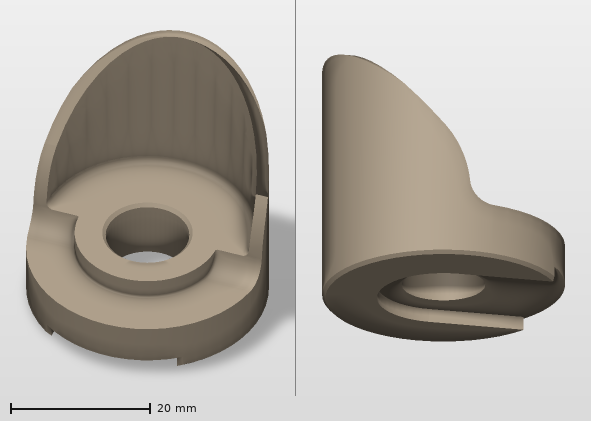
import cadquery as cq
import math

outer_diameter = 34.92
outer_radius = outer_diameter / 2
height = 34.92
bottom_chamfer = 0.5

seat_height = 11.0
step_height = 8.0
step_curve_radius = 3.65
boss_radius = 10.48
boss_fillet = 0.3

hollow_base_radius = 15.45
hollow_top_radius = 16.03
hollow_fillet = 1.0

slope_bottom_y = 3.65
slope_bottom_z = 19.97
rim_arc_radius = 16.0
rim_end_height = 11.17

bore_radius = 6.0
bore_chamfer = 0.5

notch_depth = 2.0
notch_y = -13.97
recess_radius = 9.57

clearance = 3.5


def arc_middle(start, end, radius):
    """Midpoint of the minor arc that bulges to the right of start -> end."""
    dx = end[0] - start[0]
    dy = end[1] - start[1]
    chord = math.hypot(dx, dy)
    bulge = radius - math.sqrt(radius**2 - (chord / 2) ** 2)
    middle_x = (start[0] + end[0]) / 2 + bulge * dy / chord
    middle_y = (start[1] + end[1]) / 2 - bulge * dx / chord
    return middle_x, middle_y


def across_x(profile):
    """Extrude a YZ profile symmetrically across the full width."""
    return profile.extrude(outer_radius + clearance, both=True)


def make_body():
    """Round body, sloped at the front and arched over the top."""
    cylinder = cq.Workplane("XY").circle(outer_radius).extrude(height)
    cylinder = cylinder.faces("<Z").chamfer(bottom_chamfer)

    rim_start = (slope_bottom_y, slope_bottom_z)
    rim_end = (0, rim_end_height)
    rim_middle = arc_middle(rim_start, rim_end, rim_arc_radius)
    side = across_x(
        cq.Workplane("YZ")
        .moveTo(-outer_radius, 0)
        .lineTo(outer_radius, 0)
        .lineTo(outer_radius, height)
        .lineTo(hollow_top_radius, height)
        .lineTo(*rim_start)
        .threePointArc(rim_middle, rim_end)
        .lineTo(-outer_radius, rim_end_height)
        .close()
    )

    arch_center = height - outer_radius
    arch = (
        cq.Workplane("XZ")
        .moveTo(-outer_radius, 0)
        .lineTo(outer_radius, 0)
        .lineTo(outer_radius, arch_center)
        .threePointArc((0, height), (-outer_radius, arch_center))
        .close()
        .extrude(outer_radius, both=True)
    )
    return cylinder.intersect(side).intersect(arch)


def make_hollow():
    """Tapered space above the seat, rounded at its floor."""
    return (
        cq.Workplane("XY", origin=(0, 0, seat_height))
        .circle(hollow_base_radius)
        .workplane(offset=height - seat_height)
        .circle(hollow_top_radius)
        .loft()
        .faces("<Z")
        .edges()
        .fillet(hollow_fillet)
    )


def make_step_cutter():
    """Material removed in front of the seat, leaving the half-round boss."""
    curve_center_z = step_height + step_curve_radius
    rise = curve_center_z - rim_end_height
    curve_center_y = -math.sqrt(step_curve_radius**2 - rise**2)
    half_angle = math.acos(rise / step_curve_radius) / 2
    middle_y = curve_center_y + step_curve_radius * math.sin(half_angle)
    middle_z = curve_center_z - step_curve_radius * math.cos(half_angle)
    front = -outer_radius - clearance
    cutter = across_x(
        cq.Workplane("YZ")
        .moveTo(front, step_height)
        .lineTo(curve_center_y, step_height)
        .threePointArc((middle_y, middle_z), (0, rim_end_height))
        .lineTo(front, rim_end_height)
        .close()
    )
    boss = cq.Workplane("XY").circle(boss_radius).extrude(height)
    cutter = cutter.cut(boss)
    foot = cq.selectors.BoxSelector(
        (-boss_radius - boss_fillet, -boss_radius - boss_fillet, step_height - boss_fillet),
        (boss_radius + boss_fillet, 0, seat_height - boss_fillet),
    )
    return cutter.edges(foot).fillet(boss_fillet)


def make_bore():
    """Through bore with a chamfered mouth at the seat."""
    bore = cq.Workplane("XY").circle(bore_radius).extrude(seat_height)
    mouth_radius = bore_radius + bore_chamfer
    mouth = cq.Solid.makeCone(
        bore_radius, mouth_radius, bore_chamfer, cq.Vector(0, 0, seat_height - bore_chamfer)
    )
    return bore.union(cq.Workplane(mouth))


def make_underside_cutter():
    """Front notch opening into a slot with a semicircular inner end."""
    tool_length = outer_radius + clearance
    notch = cq.Workplane("XY").rect(2 * tool_length, tool_length + notch_y, centered=(True, False))
    notch = notch.extrude(notch_depth).translate((0, -tool_length, 0))
    slot = cq.Workplane("XY").rect(2 * recess_radius, tool_length, centered=(True, False))
    slot = slot.extrude(notch_depth).translate((0, -tool_length, 0))
    round_end = cq.Workplane("XY").circle(recess_radius).extrude(notch_depth)
    return notch.union(slot).union(round_end)


result = (
    make_body()
    .cut(make_hollow())
    .cut(make_step_cutter())
    .cut(make_bore())
    .cut(make_underside_cutter())
)